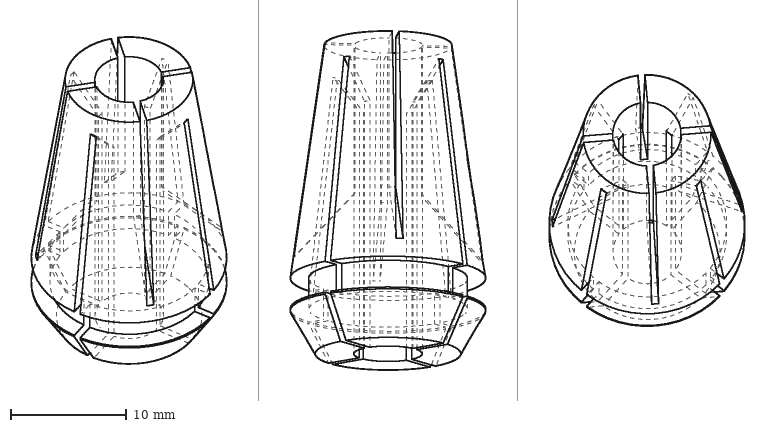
import cadquery as cq

height = 27.5
body_radius = 8.5
nose_radius = 5.55
base_radius = 6.32
groove_radius = 6.9
bore_radius = 2.97

rim_bottom = 3.82
rim_top = 4.0
cone_bottom = 6.75

slot_width = 0.6
slots_per_set = 4
lower_slot_outer_end = 25.45
lower_slot_inner_end = 22.03
upper_slot_outer_end = 8.4
upper_slot_inner_end = 14.2
clearance = 1.38


def cone_radius(z):
    """Outside radius of the long cone at height z."""
    taper = (body_radius - nose_radius) / (height - cone_bottom)
    return nose_radius + taper * (height - z)


def collet_body():
    """Revolved half section, including the through bore."""
    section = [
        (bore_radius, 0),
        (base_radius, 0),
        (body_radius, rim_bottom),
        (body_radius, rim_top),
        (groove_radius, rim_top),
        (groove_radius, cone_bottom),
        (body_radius, cone_bottom),
        (nose_radius, height),
        (bore_radius, height),
    ]
    return cq.Workplane("XZ").polyline(section).close().revolve(360, (0, 0), (0, 1))


def slot_cutter(inner_end, outer_end, open_end):
    """Radial cutter along +X, from a sloped blind end to an open end."""
    slope = (outer_end - inner_end) / (cone_radius(outer_end) - bore_radius)
    far_radius = body_radius + clearance
    axis_end = inner_end - slope * bore_radius
    far_end = axis_end + slope * far_radius
    section = [(0, open_end), (far_radius, open_end), (far_radius, far_end), (0, axis_end)]
    return cq.Workplane("XZ").polyline(section).close().extrude(slot_width / 2, both=True)


def cut_slots(body, cutter, first_angle):
    """Cut one evenly spaced set of slots around the axis."""
    for index in range(slots_per_set):
        angle = first_angle + index * 360 / slots_per_set
        body = body.cut(cutter.rotate((0, 0, 0), (0, 0, 1), angle))
    return body


lower_slot = slot_cutter(lower_slot_inner_end, lower_slot_outer_end, -clearance)
upper_slot = slot_cutter(upper_slot_inner_end, upper_slot_outer_end, height + clearance)

result = cut_slots(collet_body(), lower_slot, 0)
result = cut_slots(result, upper_slot, 180 / slots_per_set)